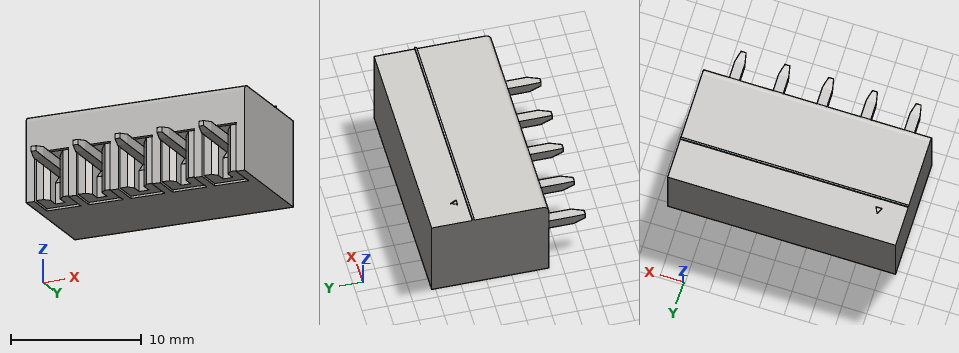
import cadquery as cq
import math

length = 18.3
depth = 9.25
height = 7.0
front_top_radius = 0.51

rib_size = 0.18
rib_back_offset = 3.2

pin_count = 5
pin_pitch = 3.51
pin_width = 0.8
pin_height = 3.0
pin_length = 3.37
pin_taper_length = 0.97
pin_tip_width = 0.4

pocket_width = 2.84
pocket_top = 3.97
recess_depth = 0.35
groove_chamfer = 0.4
groove_depth = 1.65
groove_roof_angle = 30.0
ramp_bottom = 1.88
relief_height = 0.18

mark_size = 0.5
mark_base_offset = 2.53
mark_depth = 0.1

pin_positions = [(i - (pin_count - 1) / 2) * pin_pitch for i in range(pin_count)]
pin_bottom = pin_height - pin_width / 2
ramp_end = groove_depth + pin_bottom - ramp_bottom
roof_drop = (ramp_end - recess_depth) * math.tan(math.radians(groove_roof_angle))


def box(width, y_size, z_size, x_center, y_start, z_start):
    """Box centred on x_center, starting at y_start and z_start."""
    block = cq.Workplane("XY").box(width, y_size, z_size, centered=(True, False, False))
    return block.translate((x_center, y_start, z_start))


def make_housing():
    body = box(length, depth, height, 0, 0, 0)
    return body.edges("<Y and >Z").fillet(front_top_radius)


def make_rib():
    back = depth - rib_back_offset
    arc_middle = rib_size * math.sqrt(0.5)
    return (
        cq.Workplane("YZ", origin=(-length / 2, 0, 0))
        .moveTo(back, height)
        .lineTo(back, height + rib_size)
        .threePointArc((back - arc_middle, height + arc_middle), (back - rib_size, height))
        .close()
        .extrude(length)
    )


def make_groove(x):
    """Funnel behind the recess: flared sides, sloping roof and a ramp up to the pin."""
    half = pin_width / 2
    mouth = half + groove_chamfer
    flare_end = recess_depth + groove_chamfer
    plan = (
        cq.Workplane("XY")
        .polyline(
            [
                (x - mouth, recess_depth),
                (x - half, flare_end),
                (x - half, ramp_end),
                (x + half, ramp_end),
                (x + half, flare_end),
                (x + mouth, recess_depth),
            ]
        )
        .close()
        .extrude(pocket_top)
    )
    profile = (
        cq.Workplane("YZ", origin=(x - mouth, 0, 0))
        .polyline(
            [
                (recess_depth, 0),
                (recess_depth, pocket_top),
                (ramp_end, pocket_top - roof_drop),
                (ramp_end, pin_bottom),
                (groove_depth, ramp_bottom),
                (groove_depth, 0),
            ]
        )
        .close()
        .extrude(2 * mouth)
    )
    return plan.intersect(profile)


def make_pocket(x):
    recess = box(pocket_width, recess_depth, pocket_top, x, 0, 0)
    relief = box(pocket_width, ramp_end, relief_height, x, 0, 0)
    return recess.union(relief).union(make_groove(x))


def make_pin(x):
    """Square pin reaching forward from inside the housing, with a tapered tip."""
    taper_start = pin_taper_length - pin_length
    shank = box(pin_width, ramp_end - taper_start, pin_width, x, taper_start, pin_bottom)
    tip = (
        cq.Workplane("XZ", origin=(x, taper_start, pin_height))
        .rect(pin_width, pin_width)
        .workplane(offset=pin_taper_length)
        .rect(pin_tip_width, pin_tip_width)
        .loft(combine=True)
    )
    return shank.union(tip)


def make_mark():
    base = depth - mark_base_offset
    x = pin_positions[0]
    return (
        cq.Workplane("XY", origin=(0, 0, height - mark_depth))
        .polyline([(x - mark_size / 2, base), (x + mark_size / 2, base), (x, base + mark_size)])
        .close()
        .extrude(mark_depth)
    )


result = make_housing().union(make_rib()).cut(make_mark())
for pin_x in pin_positions:
    result = result.cut(make_pocket(pin_x)).union(make_pin(pin_x))